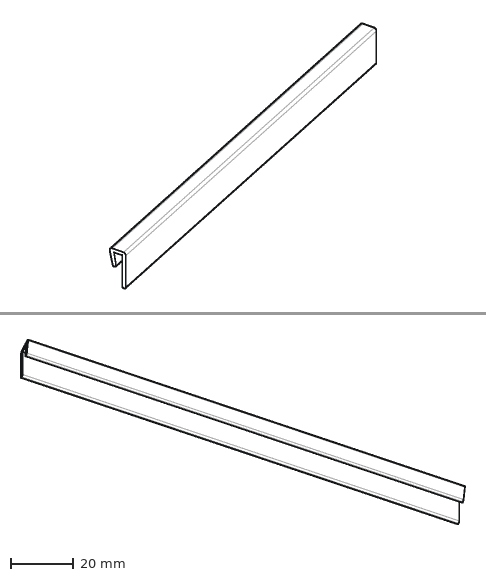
import cadquery as cq

length = 152.4
width = 6.1
height = 14.0

wall = 1.4
lip_root_thickness = 1.7
lip_tip_thickness = 1.4
lip_depth = 6.9
lip_slant_start = 1.0
lip_lean = 1.2
corner_radius = 0.9
leg_tip_radius = 0.6
lip_tip_radius = 0.6

left = -width / 2
right = width / 2
top = height / 2
bottom = -height / 2
leg_inside = right - wall
lip_root_inside = left + lip_root_thickness
lip_tip_outside = left + lip_lean
lip_tip_inside = lip_tip_outside + lip_tip_thickness
lip_tip = top - lip_depth

profile = [
    (left, top),
    (right, top),
    (right, bottom),
    (leg_inside, bottom),
    (leg_inside, top - wall),
    (lip_root_inside, top - wall),
    (lip_tip_inside, lip_tip),
    (lip_tip_outside, lip_tip),
    (left, top - lip_slant_start),
]


def round_edges(body, corners, radius):
    """Round the lengthwise edges that pass through the given profile corners."""
    for x, z in corners:
        edge = cq.selectors.NearestToPointSelector((x, 0, z))
        body = body.edges("|Y").edges(edge).fillet(radius)
    return body


strip = cq.Workplane("XZ").polyline(profile).close().extrude(length / 2, both=True)

strip = round_edges(strip, [(left, top), (right, top)], corner_radius)
strip = round_edges(strip, [(right, bottom), (leg_inside, bottom)], leg_tip_radius)
lip_tip_corners = [(lip_tip_outside, lip_tip), (lip_tip_inside, lip_tip)]
strip = round_edges(strip, lip_tip_corners, lip_tip_radius)

result = strip